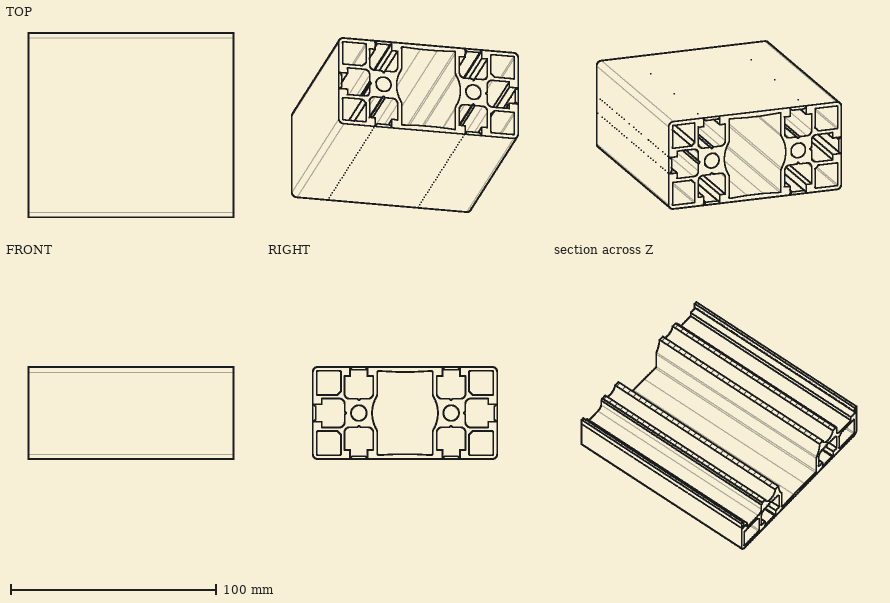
import cadquery as cq
import math

LENGTH = 100.0
WIDTH = 90.0
HEIGHT = 45.0
OUTER_RADIUS = 2.5
CORE_Y = (WIDTH - HEIGHT) / 2
CORE_BORE_DIAMETER = 7.5
HALF_CELL = HEIGHT / 2

WALL = 2.0
POCKET_INNER = 8.8
POCKET_CHAMFER = 1.8
POCKET_FILLET = 0.5

SLOT_BOTTOM = 7.0
SLOT_HALF_WIDTH = 7.0
SLOT_FILLET = 2.5
LIP_THICKNESS = 4.5
MOUTH_HALF_WIDTH = 4.2
COVER_THICKNESS = 1.5
COVER_EDGE_THICKNESS = 0.5
GUIDE_GROOVE_DEPTH = 0.8
GUIDE_GROOVE_HALF_WIDTH = 0.8

CAVITY_HALF_WIDTH = 13.5
CAVITY_BULGE_RADIUS = 16.0
CAVITY_CORNER_FILLET = 0.6
CAVITY_BULGE_FILLET = 2.0
RAISED_HALF_WIDTH = 4.2
RAISED_WALL = 2.5


def yz_plane():
    """Plane at the start of the extrusion with local x = Y and local y = Z."""
    return cq.Workplane("YZ", origin=(-LENGTH / 2, 0, 0))


def edge_near(y, z):
    """Selector for the lengthwise edge whose middle is closest to (y, z)."""
    return cq.NearestToPointSelector((0, y, z))


def outer_bar():
    return yz_plane().rect(WIDTH, HEIGHT).extrude(LENGTH).edges("|X").fillet(OUTER_RADIUS)


def corner_pocket():
    """Pocket in the +Y, +Z corner of a cell centred on the axis."""
    size = HALF_CELL - WALL - POCKET_INNER
    center = POCKET_INNER + size / 2
    pocket = yz_plane().center(center, center).rect(size, size).extrude(LENGTH)
    inner_corner = edge_near(POCKET_INNER, POCKET_INNER)
    outer_corners = cq.StringSyntaxSelector("|X") - inner_corner
    pocket = pocket.edges(outer_corners).fillet(POCKET_FILLET)
    return pocket.edges(inner_corner).chamfer(POCKET_CHAMFER)


def slot():
    """T-slot opening toward +Z of a cell centred on the axis."""
    lip = HALF_CELL - LIP_THICKNESS
    cover = HALF_CELL - COVER_THICKNESS
    cover_edge = HALF_CELL - COVER_EDGE_THICKNESS
    cover_half_width = MOUTH_HALF_WIDTH - (cover_edge - cover)
    body = (
        yz_plane()
        .center(0, (SLOT_BOTTOM + lip) / 2)
        .rect(2 * SLOT_HALF_WIDTH, lip - SLOT_BOTTOM)
        .extrude(LENGTH)
        .edges("|X and <Z")
        .fillet(SLOT_FILLET)
    )
    mouth = (
        yz_plane()
        .moveTo(-MOUTH_HALF_WIDTH, lip)
        .lineTo(-MOUTH_HALF_WIDTH, cover_edge)
        .lineTo(-cover_half_width, cover)
        .lineTo(cover_half_width, cover)
        .lineTo(MOUTH_HALF_WIDTH, cover_edge)
        .lineTo(MOUTH_HALF_WIDTH, lip)
        .close()
        .extrude(LENGTH)
    )
    groove = (
        yz_plane()
        .moveTo(-GUIDE_GROOVE_HALF_WIDTH, SLOT_BOTTOM)
        .lineTo(0, SLOT_BOTTOM - GUIDE_GROOVE_DEPTH)
        .lineTo(GUIDE_GROOVE_HALF_WIDTH, SLOT_BOTTOM)
        .close()
        .extrude(LENGTH)
    )
    return body.union(mouth).union(groove)


def end_cell_voids():
    """All voids of the +Y end cell, at their final position."""
    axis = ((0, 0, 0), (1, 0, 0))
    voids = yz_plane().circle(CORE_BORE_DIAMETER / 2).extrude(LENGTH)
    for angle in (0, -90, 180):
        voids = voids.union(slot().rotate(*axis, angle))
    voids = voids.union(corner_pocket()).union(corner_pocket().mirror("XY"))
    return voids.translate((0, CORE_Y, 0))


def central_cavity():
    """Cavity between the two end cells, with its sides bulging outward."""
    corner_z = HALF_CELL - WALL
    raised_z = HALF_CELL - RAISED_WALL
    bulge_z = math.sqrt(CAVITY_BULGE_RADIUS**2 - CAVITY_HALF_WIDTH**2)
    cavity = (
        yz_plane()
        .moveTo(-CAVITY_HALF_WIDTH, corner_z)
        .lineTo(-RAISED_HALF_WIDTH, raised_z)
        .lineTo(RAISED_HALF_WIDTH, raised_z)
        .lineTo(CAVITY_HALF_WIDTH, corner_z)
        .lineTo(CAVITY_HALF_WIDTH, bulge_z)
        .threePointArc((CAVITY_BULGE_RADIUS, 0), (CAVITY_HALF_WIDTH, -bulge_z))
        .lineTo(CAVITY_HALF_WIDTH, -corner_z)
        .lineTo(RAISED_HALF_WIDTH, -raised_z)
        .lineTo(-RAISED_HALF_WIDTH, -raised_z)
        .lineTo(-CAVITY_HALF_WIDTH, -corner_z)
        .lineTo(-CAVITY_HALF_WIDTH, -bulge_z)
        .threePointArc((-CAVITY_BULGE_RADIUS, 0), (-CAVITY_HALF_WIDTH, bulge_z))
        .close()
        .extrude(LENGTH)
    )
    for y in (-CAVITY_HALF_WIDTH, CAVITY_HALF_WIDTH):
        for level in (-1, 1):
            cavity = cavity.edges(edge_near(y, level * corner_z)).fillet(CAVITY_CORNER_FILLET)
            cavity = cavity.edges(edge_near(y, level * bulge_z)).fillet(CAVITY_BULGE_FILLET)
    return cavity


cell_voids = end_cell_voids()
result = outer_bar().cut(central_cavity()).cut(cell_voids).cut(cell_voids.mirror("XZ"))